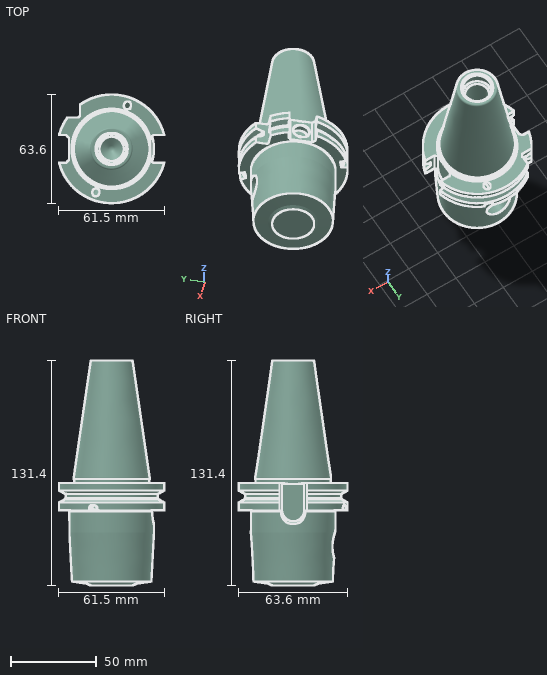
import cadquery as cq
import math


GAUGE_RADIUS = 44.45 / 2
TAPER_LENGTH = 68.4
TAPER_SLOPE = 7 / 48
SMALL_END_RADIUS = GAUGE_RADIUS - TAPER_SLOPE * TAPER_LENGTH
SMALL_END_ROUND = 1.1
GAUGE_BAND_HEIGHT = 1.0
NECK_RADIUS = 22.0

FLANGE_RADIUS = 63.55 / 2
FLANGE_TOP = -3.2
FLANGE_BOTTOM = -19.1
GROOVE_RADIUS = 56.25 / 2
GROOVE_SLOPE = math.tan(math.radians(30))
GROOVE_TOP = -7.6
GROOVE_BOTTOM = -14.6
GROOVE_RIM_HEIGHT = 0.75
GROOVE_RIM_RADIUS = GROOVE_RADIUS + 0.4
GROOVE_RIM_TOP = GROOVE_BOTTOM + (FLANGE_RADIUS - GROOVE_RIM_RADIUS) * GROOVE_SLOPE + GROOVE_RIM_HEIGHT
RELIEF_RADIUS = 23.5
RELIEF_DEPTH = 0.5

BODY_RADIUS = 49.5 / 2
BODY_NECK_RADIUS = 24.0
BODY_NECK_HEIGHT = 0.8
BODY_TAPER_TOP = -32.3
BODY_TAPER_BOTTOM = -60.7
BODY_END = -63.0
BODY_TAPER_ANGLE = 3.0
BODY_TAPER_INSET = (BODY_TAPER_TOP - BODY_TAPER_BOTTOM) * math.tan(math.radians(BODY_TAPER_ANGLE))
BODY_LOW_RADIUS = BODY_RADIUS - BODY_TAPER_INSET
NOSE_RADIUS = 14.5
NOSE_TOP = -62.0
NOSE_END_RADIUS = 12.3

BORE_RADIUS = 8.5
BORE_DEPTH = 7.7
BORE_CHAMFER = 0.9
THREAD_RADIUS = 7.1
THREAD_DEPTH = 32.0
THREAD_LEAD_IN = 1.0
DRILL_TIP_ANGLE = 118.0

SLOT_WIDTH = 16.1
LEFT_SLOT_FLOOR = 25.0
RIGHT_SLOT_FLOOR = 22.8
SLOT_CHAMFER = 1.6
SLOT_ROUND_CENTRE = FLANGE_BOTTOM

CHIP_HOLE_DIAMETER = 10.0
CHIP_HOLE_DEPTH = 4.6
CHIP_HOLE_CHAMFER = 0.3
CHIP_CENTRE_DIAMETER = 0.9
CHIP_CENTRE_DEPTH = 0.5

NOTCH_X = -18.6
NOTCH_Y = 18.4
NOTCH_CORNER_RADIUS = 1.2

COOLANT_AZIMUTH = 250.0
INLET_TILT = 25.0
PLUG_TILT = 30.0
COOLANT_INLET_RADIUS = 27.0
COOLANT_HOLE_DIAMETER = 4.2
COOLANT_HOLE_LENGTH = 16.0
PLUG_POCKET_DIAMETER = 5.4
PLUG_POCKET_DEPTH = 3.2
PLUG_HOLE_DIAMETER = 3.0
PLUG_HOLE_LENGTH = 10.0

SCREW_HOLE_DIAMETER = 16.0
SCREW_HOLE_Z = -39.0
SCREW_HOLE_FLOOR = 14.0

CLEARANCE = 5.0


def tip_height(radius):
    """Height of the cone left by a drill of the given radius."""
    return radius / math.tan(math.radians(DRILL_TIP_ANGLE / 2))


def revolve(profile):
    """Turn a list of (radius, z) points, closed along the axis, into a solid."""
    return cq.Workplane("XZ").polyline(profile).close().revolve(360, (0, 0), (0, 1))


def make_turned_body():
    blank = revolve([
        (0, TAPER_LENGTH),
        (SMALL_END_RADIUS, TAPER_LENGTH),
        (GAUGE_RADIUS, 0),
        (GAUGE_RADIUS, -GAUGE_BAND_HEIGHT),
        (NECK_RADIUS, -GAUGE_BAND_HEIGHT),
        (NECK_RADIUS, FLANGE_TOP - RELIEF_DEPTH),
        (RELIEF_RADIUS - RELIEF_DEPTH, FLANGE_TOP - RELIEF_DEPTH),
        (RELIEF_RADIUS, FLANGE_TOP),
        (FLANGE_RADIUS, FLANGE_TOP),
        (FLANGE_RADIUS, GROOVE_TOP),
        (GROOVE_RADIUS, GROOVE_TOP - (FLANGE_RADIUS - GROOVE_RADIUS) * GROOVE_SLOPE),
        (GROOVE_RADIUS, GROOVE_RIM_TOP),
        (GROOVE_RIM_RADIUS, GROOVE_RIM_TOP - GROOVE_RIM_HEIGHT),
        (FLANGE_RADIUS, GROOVE_BOTTOM),
        (FLANGE_RADIUS, FLANGE_BOTTOM),
        (BODY_NECK_RADIUS, FLANGE_BOTTOM),
        (BODY_RADIUS, FLANGE_BOTTOM - BODY_NECK_HEIGHT),
        (BODY_RADIUS, BODY_TAPER_TOP),
        (BODY_LOW_RADIUS, BODY_TAPER_BOTTOM),
        (NOSE_RADIUS, NOSE_TOP),
        (NOSE_END_RADIUS, BODY_END),
        (0, BODY_END),
    ])
    return blank.faces(">Z").edges().fillet(SMALL_END_ROUND)


def make_stud_bore():
    step_z = TAPER_LENGTH - BORE_DEPTH
    thread_end = TAPER_LENGTH - THREAD_DEPTH
    return revolve([
        (0, TAPER_LENGTH),
        (BORE_RADIUS + BORE_CHAMFER, TAPER_LENGTH),
        (BORE_RADIUS, TAPER_LENGTH - BORE_CHAMFER),
        (BORE_RADIUS, step_z),
        (THREAD_RADIUS, step_z - THREAD_LEAD_IN),
        (THREAD_RADIUS, thread_end),
        (0, thread_end - tip_height(THREAD_RADIUS)),
    ])


def make_drive_slot(floor):
    """Cutter for a slot on +X: round lower end, open top, chamfered along the floor."""
    half = SLOT_WIDTH / 2
    slot_top = CLEARANCE + FLANGE_TOP - SLOT_ROUND_CENTRE
    slot = (
        cq.Workplane("YZ", origin=(floor, 0, SLOT_ROUND_CENTRE))
        .moveTo(-half, slot_top)
        .lineTo(-half, 0)
        .threePointArc((0, -half), (half, 0))
        .lineTo(half, slot_top)
        .close()
        .extrude(FLANGE_RADIUS + CLEARANCE - floor)
    )
    return slot.faces("<X").edges("not >Z").chamfer(SLOT_CHAMFER)


def make_chip_hole():
    radius = CHIP_HOLE_DIAMETER / 2
    centre_radius = CHIP_CENTRE_DIAMETER / 2
    middle_z = (FLANGE_TOP + FLANGE_BOTTOM) / 2
    hole = revolve([
        (0, 0),
        (radius, 0),
        (radius - CHIP_HOLE_CHAMFER, -CHIP_HOLE_CHAMFER),
        (radius - CHIP_HOLE_CHAMFER, -CHIP_HOLE_DEPTH),
        (centre_radius, -CHIP_HOLE_DEPTH),
        (centre_radius, -CHIP_HOLE_DEPTH - CHIP_CENTRE_DEPTH),
        (0, -CHIP_HOLE_DEPTH - CHIP_CENTRE_DEPTH),
    ])
    return hole.rotate((0, 0, 0), (0, 1, 0), -90).translate((-LEFT_SLOT_FLOOR, 0, middle_z))


def make_orientation_notch():
    reach = FLANGE_RADIUS + CLEARANCE
    return (
        cq.Workplane("XY", origin=(0, 0, FLANGE_BOTTOM))
        .moveTo(NOTCH_X, NOTCH_Y)
        .rect(-reach, reach, centered=False)
        .extrude(FLANGE_TOP - FLANGE_BOTTOM)
        .edges("|Z and >X and <Y")
        .fillet(NOTCH_CORNER_RADIUS)
    )


def make_coolant_channels():
    """One inlet in the flange top and one plugged rim hole, both in the XZ plane on the +X side."""
    inlet_tilt = math.radians(INLET_TILT)
    plug_tilt = math.radians(PLUG_TILT)
    inlet_mouth = cq.Vector(COOLANT_INLET_RADIUS, 0, FLANGE_TOP)
    inlet_direction = cq.Vector(-math.sin(inlet_tilt), 0, -math.cos(inlet_tilt))
    rim_mouth = cq.Vector(FLANGE_RADIUS, 0, FLANGE_BOTTOM)
    rim_direction = cq.Vector(-math.cos(plug_tilt), 0, math.sin(plug_tilt))

    def drill(mouth, direction, diameter, length):
        start = mouth - direction * CLEARANCE
        return cq.Solid.makeCylinder(diameter / 2, length + CLEARANCE, start, direction)

    inlet = drill(inlet_mouth, inlet_direction, COOLANT_HOLE_DIAMETER, COOLANT_HOLE_LENGTH)
    pocket = drill(rim_mouth, rim_direction, PLUG_POCKET_DIAMETER, PLUG_POCKET_DEPTH)
    plug_hole = drill(rim_mouth, rim_direction, PLUG_HOLE_DIAMETER, PLUG_HOLE_LENGTH)
    return cq.Workplane(inlet).union(cq.Workplane(pocket)).union(cq.Workplane(plug_hole))


def make_screw_hole():
    return (
        cq.Workplane("XZ", origin=(0, SCREW_HOLE_FLOOR, SCREW_HOLE_Z))
        .circle(SCREW_HOLE_DIAMETER / 2)
        .extrude(-(BODY_RADIUS + CLEARANCE - SCREW_HOLE_FLOOR))
    )


holder = make_turned_body()
holder = holder.cut(make_stud_bore())
holder = holder.cut(make_drive_slot(RIGHT_SLOT_FLOOR))
holder = holder.cut(make_drive_slot(LEFT_SLOT_FLOOR).rotate((0, 0, 0), (0, 0, 1), 180))
holder = holder.cut(make_chip_hole())
holder = holder.cut(make_orientation_notch())
for azimuth in (COOLANT_AZIMUTH, COOLANT_AZIMUTH - 180):
    holder = holder.cut(make_coolant_channels().rotate((0, 0, 0), (0, 0, 1), azimuth))
holder = holder.cut(make_screw_hole())

result = holder